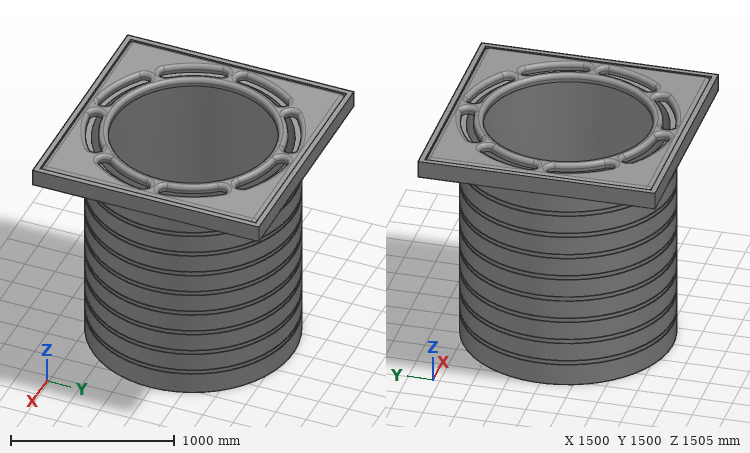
import cadquery as cq
import math

frame_width = 1500.0
total_height = 1505
lid_rise = 5.0
frame_top = total_height - lid_rise
frame_height = 110.0
frame_bottom = frame_top - frame_height

rim_width = 35.0
lid_width = frame_width - 2 * rim_width
lid_thickness = 50.0
lid_fillet = 29.0
lid_corner_radius = 32.0
lid_bottom = total_height - lid_thickness
opening_diameter = 1040.0

slot_count = 8
slot_land = 3.0
slot_width = 80.0
slot_pitch = 360 / slot_count
slot_end_angle = 6.8
slot_inner_radius = opening_diameter / 2 + 2 * lid_fillet + slot_land
slot_outer_radius = slot_inner_radius + slot_width
slot_middle_radius = (slot_inner_radius + slot_outer_radius) / 2

pipe_diameter = 1330.0
bore_diameter = 1261.0
mouth_diameter = 1248.0
groove_diameter = 1320.0
groove_count = 8
groove_width = 29.0
groove_pitch = 150.0
first_groove_bottom = 140.0


def ring(outer_diameter, inner_diameter, bottom, height):
    """A flat ring around the vertical axis."""
    return (
        cq.Workplane("XY", origin=(0, 0, bottom))
        .circle(outer_diameter / 2)
        .circle(inner_diameter / 2)
        .extrude(height)
    )


def polar(radius, angle):
    """The point at this radius and this angle in degrees."""
    return (radius * math.cos(math.radians(angle)), radius * math.sin(math.radians(angle)))


def make_well():
    """The grooved pipe with its square frame, which has a recess for the lid."""
    pipe = cq.Workplane("XY").circle(pipe_diameter / 2).extrude(frame_bottom)
    for index in range(groove_count):
        groove_bottom = first_groove_bottom + index * groove_pitch
        pipe = pipe.cut(ring(frame_width, groove_diameter, groove_bottom, groove_width))

    frame = cq.Workplane("XY", origin=(0, 0, frame_bottom)).rect(frame_width, frame_width).extrude(frame_height)
    recess = cq.Workplane("XY", origin=(0, 0, lid_bottom)).rect(lid_width, lid_width).extrude(lid_thickness)

    bore_profile = [
        (0, 0),
        (bore_diameter / 2, 0),
        (mouth_diameter / 2, lid_bottom),
        (0, lid_bottom),
    ]
    bore = cq.Workplane("XZ").polyline(bore_profile).close().revolve(360, (0, 0), (0, 1))
    return pipe.union(frame).cut(recess).cut(bore)


def make_slot(middle_angle):
    """A round-ended arc slot as a solid to cut from the lid."""
    half_span = slot_pitch / 2 - slot_end_angle
    start = middle_angle - half_span
    end = middle_angle + half_span
    start_x, start_y = polar(slot_middle_radius, start)
    end_x, end_y = polar(slot_middle_radius, end)
    back_x, back_y = polar(slot_width / 2, start - 90)
    ahead_x, ahead_y = polar(slot_width / 2, end + 90)
    return (
        cq.Workplane("XY", origin=(0, 0, lid_bottom))
        .moveTo(*polar(slot_outer_radius, start))
        .threePointArc(polar(slot_outer_radius, middle_angle), polar(slot_outer_radius, end))
        .threePointArc((end_x + ahead_x, end_y + ahead_y), polar(slot_inner_radius, end))
        .threePointArc(polar(slot_inner_radius, middle_angle), polar(slot_inner_radius, start))
        .threePointArc((start_x + back_x, start_y + back_y), polar(slot_outer_radius, start))
        .close()
        .extrude(lid_thickness)
    )


def make_lid():
    """The square lid with a round opening and arc slots, all rounded on top."""
    blank = (
        cq.Workplane("XY", origin=(0, 0, lid_bottom))
        .rect(lid_width, lid_width)
        .extrude(lid_thickness)
        .edges("|Z")
        .fillet(lid_corner_radius)
    )
    opening = cq.Workplane("XY", origin=(0, 0, lid_bottom)).circle(opening_diameter / 2).extrude(lid_thickness)
    lid = blank.cut(opening)
    for index in range(slot_count):
        lid = lid.cut(make_slot((index + 0.5) * slot_pitch))
    return lid.faces(">Z").edges().fillet(lid_fillet)


well = make_well()
lid = make_lid()

result = cq.Compound.makeCompound([well.val(), lid.val()])